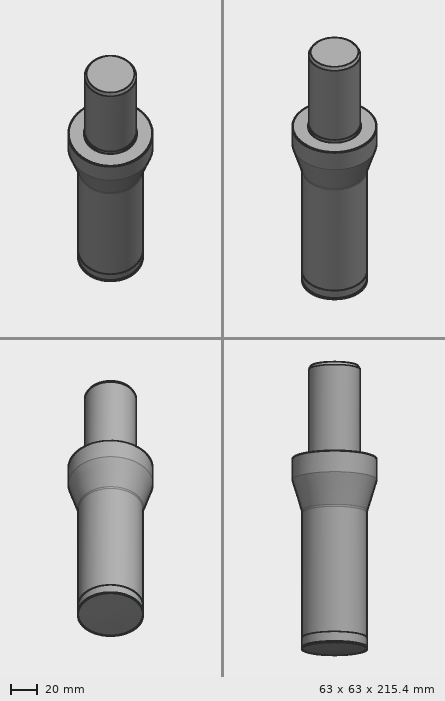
import cadquery as cq

TOTAL_HEIGHT = 215.4
COLLAR_TOP = 145.5
COLLAR_BOTTOM = 129.5
CONE_BOTTOM = 106.2

COLLAR_RADIUS = 31.5
COLLAR_CHAMFER = 0.6
BODY_RADIUS = 24.3
BODY_TOP = 104.7
RELIEF_RADIUS = 24.1
FOOT_TOP = 10.0
FOOT_GROOVE_TOP = 2.8
FOOT_GROOVE_BOTTOM = 2.2
FOOT_GROOVE_DEPTH = 0.5
FOOT_POINT_HEIGHT = 1.5

ROD_RADIUS = 19.2
ROD_TOP_CHAMFER_WIDTH = 1.5
ROD_TOP_CHAMFER_HEIGHT = 2.5
NECK_RADIUS = 18.5
NECK_TOP = 147.1
NECK_CHAMFER = ROD_RADIUS - NECK_RADIUS

SOCKET_BOTTOM = COLLAR_BOTTOM
MOUTH_RADIUS = 19.8
MOUTH_CHAMFER = MOUTH_RADIUS - NECK_RADIUS


def revolve_profile(points):
    """Turn a closed (radius, height) outline about the Z axis."""
    return cq.Workplane("XZ").polyline(points).close().revolve(360, (0, 0), (0, 1))


def make_housing():
    groove_radius = BODY_RADIUS - FOOT_GROOVE_DEPTH
    return revolve_profile([
        (0, 0),
        (BODY_RADIUS, FOOT_POINT_HEIGHT),
        (BODY_RADIUS, FOOT_GROOVE_BOTTOM),
        (groove_radius, FOOT_GROOVE_BOTTOM),
        (groove_radius, FOOT_GROOVE_TOP),
        (BODY_RADIUS, FOOT_GROOVE_TOP),
        (BODY_RADIUS, FOOT_TOP),
        (RELIEF_RADIUS, FOOT_TOP),
        (RELIEF_RADIUS, BODY_TOP),
        (BODY_RADIUS, CONE_BOTTOM),
        (COLLAR_RADIUS, COLLAR_BOTTOM),
        (COLLAR_RADIUS, COLLAR_TOP - COLLAR_CHAMFER),
        (COLLAR_RADIUS - COLLAR_CHAMFER, COLLAR_TOP),
        (MOUTH_RADIUS, COLLAR_TOP),
        (NECK_RADIUS, COLLAR_TOP - MOUTH_CHAMFER),
        (NECK_RADIUS, SOCKET_BOTTOM),
        (0, SOCKET_BOTTOM),
    ])


def make_rod():
    return revolve_profile([
        (0, SOCKET_BOTTOM),
        (NECK_RADIUS, SOCKET_BOTTOM),
        (NECK_RADIUS, NECK_TOP),
        (ROD_RADIUS, NECK_TOP + NECK_CHAMFER),
        (ROD_RADIUS, TOTAL_HEIGHT - ROD_TOP_CHAMFER_HEIGHT),
        (ROD_RADIUS - ROD_TOP_CHAMFER_WIDTH, TOTAL_HEIGHT),
        (0, TOTAL_HEIGHT),
    ])


housing = make_housing()
rod = make_rod()

result = cq.Compound.makeCompound([housing.val(), rod.val()])